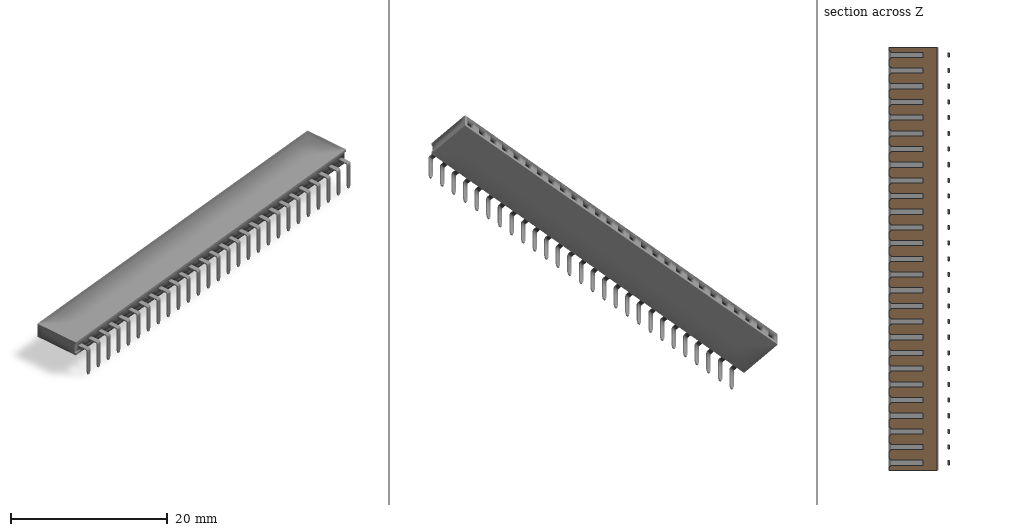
import cadquery as cq

length = 54.0
contact_count = 27
pitch = length / contact_count

overall_depth = 7.7
overall_height = 4.9

housing_depth = 6.35
housing_height = 2.05
rear_groove_depth = 0.2
rear_groove_height = 1.35

socket_mouth = 1.2
socket_bore = 0.6
socket_lead_in = (socket_mouth - socket_bore) / 2
socket_depth = 4.3

pin_thickness = 0.2
pin_width = 0.6
bend_radius = 0.295
blade_front_x = 0.8
tip_length = 0.55
tip_width = 0.295

pin_bottom_z = housing_height / 2 - overall_height
contact_y = [(i - (contact_count - 1) / 2) * pitch for i in range(contact_count)]


def make_housing():
    """Long bar with a full-length groove in its rear face, centred on Z = 0."""
    bar = cq.Workplane("XY").box(housing_depth, length, housing_height, centered=(False, True, True))
    groove = (
        cq.Workplane("XY")
        .box(rear_groove_depth, length, rear_groove_height, centered=(False, True, True))
        .translate((housing_depth - rear_groove_depth, 0, 0))
    )
    return bar.cut(groove)


def make_socket():
    """Square blind hole with a tapered mouth, opening on the front face at Y = 0."""
    mouth = (
        cq.Workplane("YZ")
        .rect(socket_mouth, socket_mouth)
        .workplane(offset=socket_lead_in)
        .rect(socket_bore, socket_bore)
        .loft(ruled=True)
    )
    bore = cq.Workplane("YZ").rect(socket_bore, socket_bore).extrude(socket_depth)
    return mouth.union(bore)


def make_pin():
    """Flat pin at Y = 0: a blade inside the socket, a bend behind the housing and a narrowed tip."""
    top_z = pin_thickness / 2
    bottom_z = -top_z
    inner_radius = bend_radius - pin_thickness
    strip = (
        cq.Workplane("XZ")
        .moveTo(blade_front_x, top_z)
        .lineTo(overall_depth - bend_radius, top_z)
        .radiusArc((overall_depth, top_z - bend_radius), bend_radius)
        .lineTo(overall_depth, pin_bottom_z)
        .lineTo(overall_depth - pin_thickness, pin_bottom_z)
        .lineTo(overall_depth - pin_thickness, top_z - bend_radius)
        .radiusArc((overall_depth - bend_radius, bottom_z), -inner_radius)
        .lineTo(blade_front_x, bottom_z)
        .close()
        .extrude(pin_width / 2, both=True)
    )
    tip_side_cut = (pin_width - tip_width) / 2
    return strip.faces("<Z").edges("|X").chamfer(tip_length, tip_side_cut)


def repeat_per_contact(shape):
    """Copies of a shape made at Y = 0, one at every contact position."""
    copies = [shape.val().translate(cq.Vector(0, y, 0)) for y in contact_y]
    return cq.Workplane(cq.Compound.makeCompound(copies))


sockets = repeat_per_contact(make_socket())
pins = repeat_per_contact(make_pin())

result = make_housing().cut(sockets).union(pins)